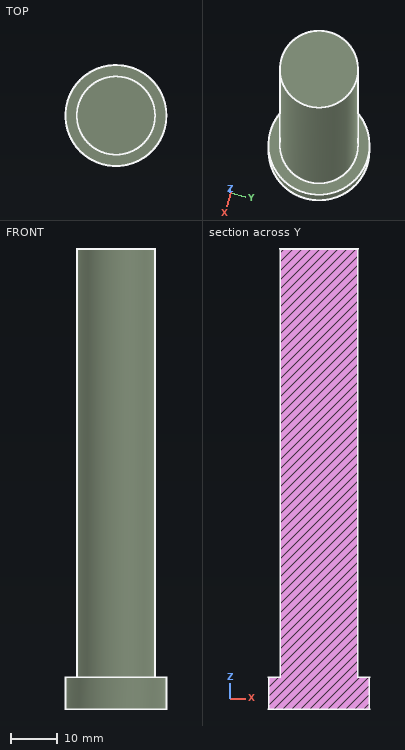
import cadquery as cq

total_length = 100.0
head_diameter = 22.0
head_height = 7.0
shank_diameter = 17.0

head = cq.Workplane("XY").circle(head_diameter / 2).extrude(head_height)
shank = cq.Workplane("XY").circle(shank_diameter / 2).extrude(total_length)

result = head.union(shank)